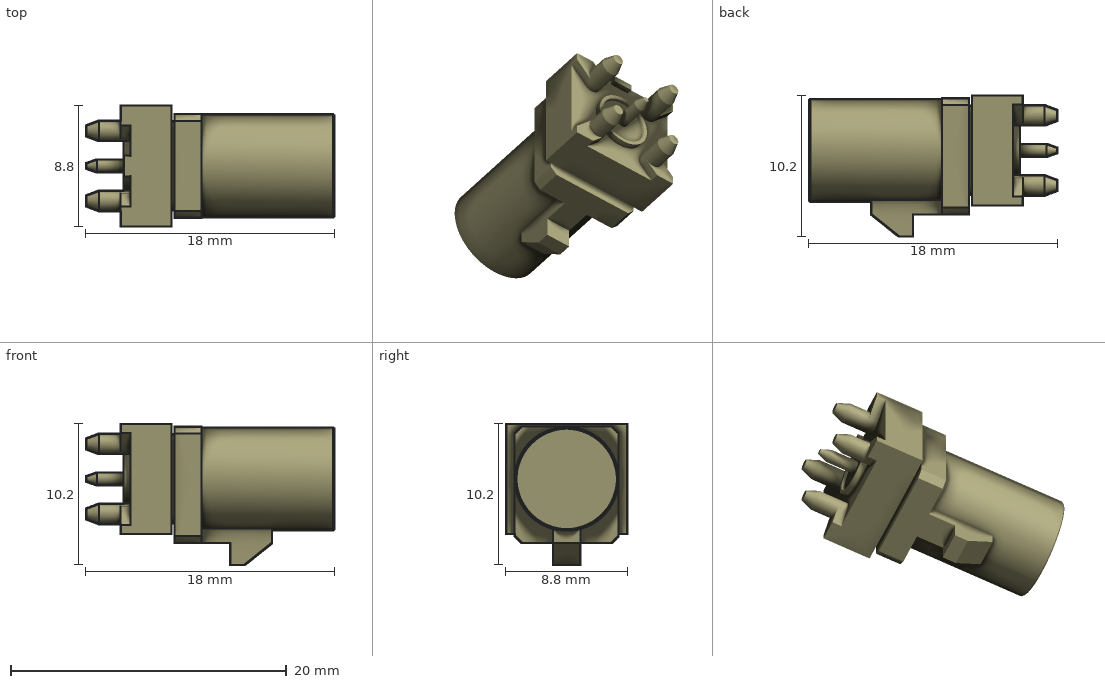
import cadquery as cq


block_width = 8.8
block_height = 8.0
block_end_x = 3.7
standoff_height = 0.7
key_width = 1.5
key_height = 0.5
key_start_x = 0.25

ring_diameter = 4.3
ring_start_x = 0.2
bore_mouth_diameter = 3.75
bore_floor_diameter = 3.6
bore_depth = 0.2

pin_tip_x = -2.5
pin_diameter = 1.5
pin_tip_diameter = 0.8
pin_taper_length = 0.93
pin_pitch = 5.08
contact_diameter = 0.95
contact_tip_diameter = 0.4
contact_taper_length = 0.77

core_width = 6.5
core_corner_radius = 0.6

flange_start_x = 3.9
flange_end_x = 5.87
flange_width = 7.55
flange_top_z = 3.8
flange_bottom_z = -4.65
flange_chamfer = 0.5

barrel_diameter = 7.5
barrel_end_x = 15.5
barrel_chamfer = 0.1

rail_width = 2.0
rail_end_x = 11.0
hook_start_x = 7.95
hook_ramp_x = 9.0
hook_bottom_z = -6.25

diagonal_directions = [(sy, sz) for sy in (-1, 1) for sz in (-1, 1)]


def box(x_range, y_range, z_range):
    """Axis-aligned box between the given limits."""
    sizes = [high - low for low, high in (x_range, y_range, z_range)]
    origin = (x_range[0], y_range[0], z_range[0])
    return cq.Workplane("XY").box(*sizes, centered=False).translate(origin)


def turned(profile):
    """Solid of revolution about the X axis from (x, radius) points."""
    return cq.Workplane("XY").polyline(profile).close().revolve(360, (0, 0, 0), (1, 0, 0))


def tapered_pin(diameter, tip_diameter, taper_length):
    """Pin on the X axis with a conical tip, rooted inside the block."""
    return turned([
        (pin_tip_x, 0),
        (pin_tip_x, tip_diameter / 2),
        (pin_tip_x + taper_length, diameter / 2),
        (block_end_x, diameter / 2),
        (block_end_x, 0),
    ])


def base_block():
    """Block with four diagonal corner feet and a key on its top edge."""
    half_width = block_width / 2
    half_height = block_height / 2
    y_range = (-half_width, half_width)
    z_range = (-half_height, half_height)
    block = box((standoff_height, block_end_x), y_range, z_range)

    envelope = box((0, block_end_x), y_range, z_range)
    foot_length = block_width
    for side_y, side_z in diagonal_directions:
        bar = box((0, block_end_x), (0, foot_length), (-pin_diameter / 2, pin_diameter / 2))
        angle = side_z * (45 if side_y > 0 else 135)
        bar = bar.rotate((0, 0, 0), (1, 0, 0), angle)
        bar = bar.translate((0, side_y * pin_pitch / 2, side_z * pin_pitch / 2))
        block = block.union(bar.intersect(envelope))

    key = box(
        (key_start_x, block_end_x),
        (-key_width / 2, key_width / 2),
        (half_height - key_height, half_height),
    )
    return block.union(key)


def locating_ring():
    """Disc that carries the raised ring."""
    return turned([
        (ring_start_x, 0),
        (ring_start_x, ring_diameter / 2),
        (block_end_x, ring_diameter / 2),
        (block_end_x, 0),
    ])


def ring_bore():
    """Shallow, slightly tapered recess inside the ring."""
    return turned([
        (ring_start_x, 0),
        (ring_start_x, bore_mouth_diameter / 2),
        (ring_start_x + bore_depth, bore_floor_diameter / 2),
        (ring_start_x + bore_depth, 0),
    ])


def corner_pins():
    """Four tapered solder pins on a square pitch."""
    spots = [(0, sy * pin_pitch / 2, sz * pin_pitch / 2) for sy, sz in diagonal_directions]
    pin = tapered_pin(pin_diameter, pin_tip_diameter, pin_taper_length)
    pins = pin.translate(spots[0])
    for spot in spots[1:]:
        pins = pins.union(pin.translate(spot))
    return pins


def core():
    """Rounded square neck joining the block to the flange."""
    half = core_width / 2
    neck = box((block_end_x, flange_start_x), (-half, half), (-half, half))
    return neck.edges("|X").fillet(core_corner_radius)


def flange():
    """Rectangular flange with chamfered corners."""
    half = flange_width / 2
    plate = box((flange_start_x, flange_end_x), (-half, half), (flange_bottom_z, flange_top_z))
    return plate.edges("|X").chamfer(flange_chamfer)


def barrel():
    """Cylindrical barrel with a small chamfer at its free end."""
    radius = barrel_diameter / 2
    return turned([
        (flange_end_x, 0),
        (flange_end_x, radius),
        (barrel_end_x - barrel_chamfer, radius),
        (barrel_end_x, radius - barrel_chamfer),
        (barrel_end_x, 0),
    ])


def latch_rail():
    """Rail under the barrel ending in a ramped latch hook."""
    profile = [
        (flange_end_x, 0),
        (flange_end_x, flange_bottom_z),
        (hook_start_x, flange_bottom_z),
        (hook_start_x, hook_bottom_z),
        (hook_ramp_x, hook_bottom_z),
        (rail_end_x, flange_bottom_z),
        (rail_end_x, 0),
    ]
    return cq.Workplane("XZ").polyline(profile).close().extrude(rail_width / 2, both=True)


result = base_block().union(locating_ring()).cut(ring_bore())
result = result.union(tapered_pin(contact_diameter, contact_tip_diameter, contact_taper_length))
for feature in (corner_pins(), core(), flange(), barrel(), latch_rail()):
    result = result.union(feature)